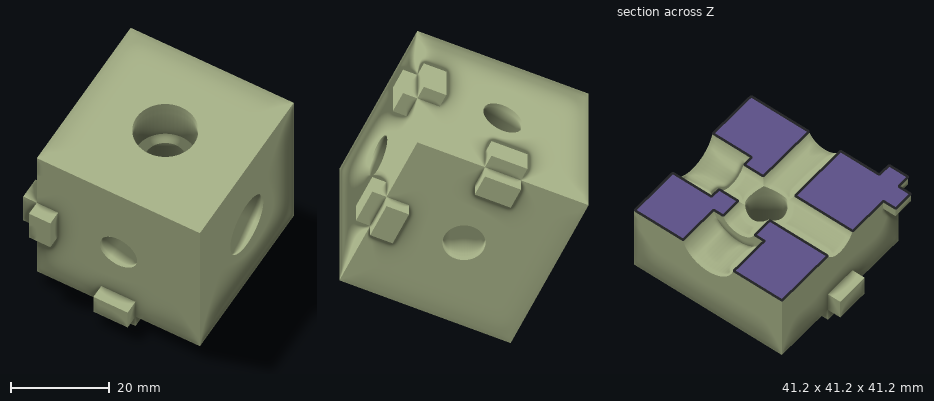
import cadquery as cq

overall = 41.25
cube_side = 38.1
tab_height = overall - cube_side
tab_reach = 5.0
tab_width = 8.0
bore_diameter = 8.7
counterbore_diameter = 13.4
counterbore_depth = 10.0

middle = cube_side / 2
tab_start = middle - tab_width / 2


def edge_tab(raised_axis, reach_axis):
    """Tab raised from the face normal to one axis, reaching inward from the edge along another."""
    size = [tab_width] * 3
    corner = [tab_start] * 3
    size[raised_axis] = tab_height
    corner[raised_axis] = -tab_height
    size[reach_axis] = tab_reach
    corner[reach_axis] = 0
    return cq.Workplane("XY").box(*size, centered=False).translate(tuple(corner))


body = cq.Workplane("XY").box(cube_side, cube_side, cube_side, centered=False)

for raised_axis in range(3):
    for reach_axis in range(3):
        if reach_axis != raised_axis:
            body = body.union(edge_tab(raised_axis, reach_axis))

for plane in (
    cq.Plane(origin=(cube_side, middle, middle), normal=(1, 0, 0)),
    cq.Plane(origin=(middle, cube_side, middle), normal=(0, 1, 0)),
    cq.Plane(origin=(middle, middle, cube_side), normal=(0, 0, 1)),
):
    bore = cq.Workplane(plane).circle(bore_diameter / 2).extrude(-cube_side)
    counterbore = cq.Workplane(plane).circle(counterbore_diameter / 2).extrude(-counterbore_depth)
    body = body.cut(bore).cut(counterbore)

result = body